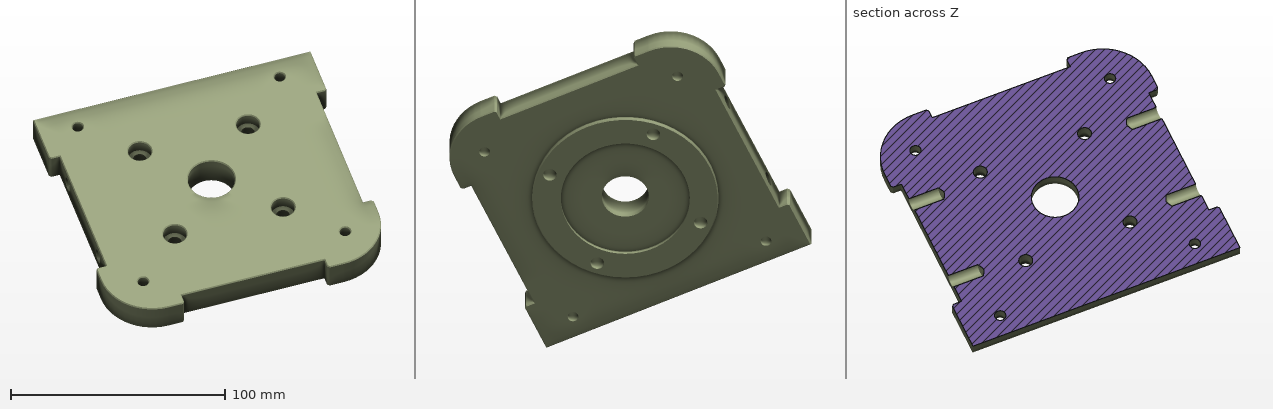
import cadquery as cq
import math

plate_thickness = 14.0
plate_half_width = 68.0
left_reach = 60.0
corner_radius = 25.0
notch_length = 70.0
notch_depth = 5.0
edge_chamfer = 0.5
notch_corner_chamfer = 1.0

pad_diameter = 87.0
pad_height = 2.0
pad_chamfer = 0.5
pad_recess_diameter = 60.2
pad_recess_depth = pad_height

rim_chamfer = 0.5
bore_diameter = 22.0
screw_circle_diameter = 75.0
screw_hole_diameter = 6.3
counterbore_diameter = 11.0
counterbore_depth = 6.0
corner_circle_diameter = 140.0
corner_hole_diameter = 5.04

side_hole_diameter = 6.78
side_hole_spacing = 46.0
side_hole_depth = 15.0
drill_point_angle = 118.0

right_reach = plate_half_width
pad_bottom = -pad_height
through_height = plate_thickness + pad_height
notch_floor = plate_half_width - notch_depth


def square_positions(circle_diameter):
    """Four points on a circle, on the diagonals of the plate."""
    offset = circle_diameter / 2 * math.cos(math.radians(45))
    return [(x, y) for x in (-offset, offset) for y in (-offset, offset)]


def make_plate():
    """Plate with two rounded corners, three edge notches, notch corners and outlines chamfered."""
    length = left_reach + right_reach
    center_x = (right_reach - left_reach) / 2
    plate = (
        cq.Workplane("XY")
        .center(center_x, 0)
        .rect(length, 2 * plate_half_width)
        .extrude(plate_thickness)
        .edges("|Z and >X")
        .fillet(corner_radius)
    )
    for x, y in ((0, plate_half_width), (0, -plate_half_width), (right_reach, 0)):
        size_x = 2 * notch_depth if x else notch_length
        size_y = notch_length if x else 2 * notch_depth
        cutter = cq.Workplane("XY").center(x, y).rect(size_x, size_y).extrude(plate_thickness)
        plate = plate.cut(cutter)
    half_notch = notch_length / 2
    for side in (-1, 1):
        for end in (-1, 1):
            plate = chamfer_corner(plate, end * half_notch, side * plate_half_width)
        plate = chamfer_corner(plate, right_reach, side * half_notch)
    return plate.faces("<Z or >Z").edges().chamfer(edge_chamfer)


def chamfer_corner(plate, x, y):
    """Chamfer the vertical plate edge at (x, y)."""
    nearest = cq.selectors.NearestToPointSelector((x, y, plate_thickness / 2))
    return plate.edges("|Z").edges(nearest).chamfer(notch_corner_chamfer)


def make_pad():
    """Round pad below the plate, chamfered at its lower rim."""
    pad = cq.Workplane("XY").circle(pad_diameter / 2).extrude(-pad_height)
    return pad.faces("<Z").edges().chamfer(pad_chamfer)


def cut_pad_recess(body):
    """Round recess inside the pad that leaves the pad as a ring."""
    recess = (
        cq.Workplane("XY", origin=(0, 0, pad_bottom))
        .circle(pad_recess_diameter / 2)
        .extrude(pad_recess_depth)
    )
    return body.cut(recess)


def cut_from_top(body, positions, diameter, depth):
    """Holes drilled down from the plate top, with a chamfered upper rim."""
    radius = diameter / 2
    top = cq.Workplane("XY", origin=(0, 0, plate_thickness))
    holes = top.pushPoints(positions).circle(radius).extrude(-depth)
    down = cq.Vector(0, 0, -1)
    for x, y in positions:
        rim_center = cq.Vector(x, y, plate_thickness)
        rim = cq.Solid.makeCone(radius + rim_chamfer, radius, rim_chamfer, rim_center, down)
        body = body.cut(cq.Workplane(rim))
    return body.cut(holes)


def cut_bore(body):
    return cut_from_top(body, [(0, 0)], bore_diameter, through_height)


def cut_screw_holes(body):
    """Counterbored through holes around the bore."""
    positions = square_positions(screw_circle_diameter)
    body = cut_from_top(body, positions, counterbore_diameter, counterbore_depth)
    shafts = (
        cq.Workplane("XY", origin=(0, 0, pad_bottom))
        .pushPoints(positions)
        .circle(screw_hole_diameter / 2)
        .extrude(through_height)
    )
    return body.cut(shafts)


def cut_corner_holes(body):
    positions = square_positions(corner_circle_diameter)
    return cut_from_top(body, positions, corner_hole_diameter, plate_thickness)


def cut_side_holes(body):
    """Blind drilled holes with conical ends, entering from the -Y and +Y notch floors."""
    radius = side_hole_diameter / 2
    point_length = radius / math.tan(math.radians(drill_point_angle / 2))
    for side in (-1, 1):
        for x in (-side_hole_spacing / 2, side_hole_spacing / 2):
            entry = cq.Vector(x, side * notch_floor, plate_thickness / 2)
            inward = cq.Vector(0, -side, 0)
            tip_base = entry + inward * side_hole_depth
            drill = cq.Solid.makeCylinder(radius, side_hole_depth, entry, inward)
            point = cq.Solid.makeCone(radius, 0, point_length, tip_base, inward)
            body = body.cut(cq.Workplane(drill.fuse(point)))
    return body


result = make_plate().union(make_pad())
result = cut_pad_recess(result)
result = cut_bore(result)
result = cut_screw_holes(result)
result = cut_corner_holes(result)
result = cut_side_holes(result)